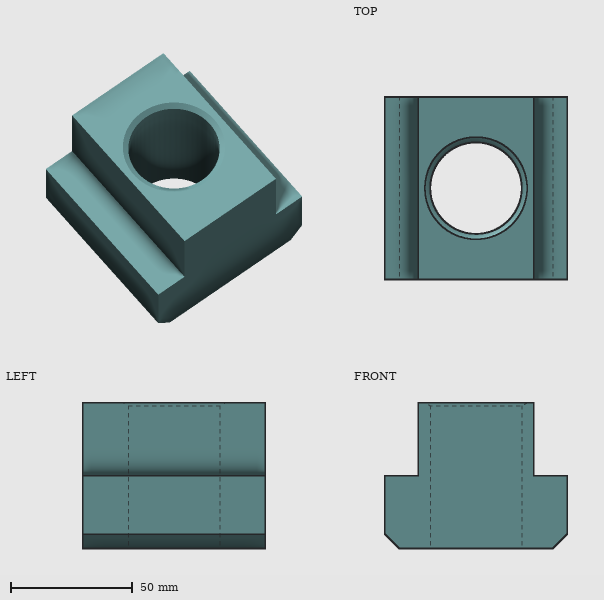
import cadquery as cq

flange_width = 75.0
length = 75.0
total_height = 60.0
flange_height = 30.0
neck_width = 47.6
edge_chamfer = 6.0

bore_diameter = 37.5
countersink_diameter = 42.0
countersink_angle = 120.0


def make_body():
    """T-shaped block, extruded along Y and centred on X and Y, base at Z = 0."""
    block_size = (flange_width, length, flange_height)
    flange = cq.Workplane("XY").box(*block_size, centered=(True, True, False))
    flange = flange.faces("<Z").edges("|Y").chamfer(edge_chamfer)
    neck = cq.Workplane("XY").box(neck_width, length, total_height, centered=(True, True, False))
    return flange.union(neck)


def cut_bore(body):
    """Through bore with a countersunk upper rim."""
    return (
        body.faces(">Z")
        .workplane(origin=(0, 0, total_height))
        .cskHole(bore_diameter, countersink_diameter, countersink_angle)
    )


result = cut_bore(make_body())